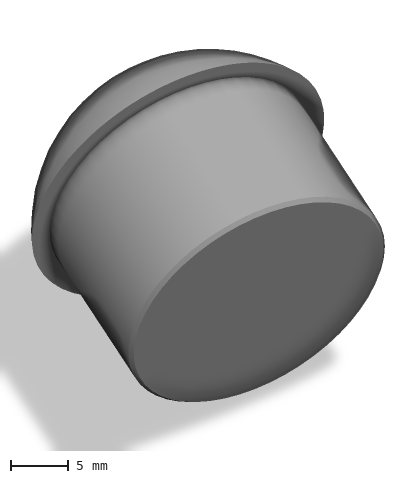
import cadquery as cq

head_diameter = 28.5
head_height = 9.6
total_length = 24.62
shank_diameter = 25.0
end_chamfer = 0.35

head_radius = head_diameter / 2
shank_length = total_length - head_height
dome_radius = (head_radius**2 + head_height**2) / (2 * head_height)


def make_head():
    """Spherical cap with its tip toward -X and its flat underside at X = 0."""
    dome_center_x = dome_radius - head_height
    dome = cq.Workplane("XY").sphere(dome_radius).translate((dome_center_x, 0, 0))
    cap_side = cq.Workplane("YZ").circle(dome_radius).extrude(-head_height)
    return dome.intersect(cap_side)


def make_shank():
    """Cylinder from the head's underside toward +X, chamfered at its free end."""
    shank = cq.Workplane("YZ").circle(shank_diameter / 2).extrude(shank_length)
    return shank.faces(">X").chamfer(end_chamfer)


result = make_head().union(make_shank())